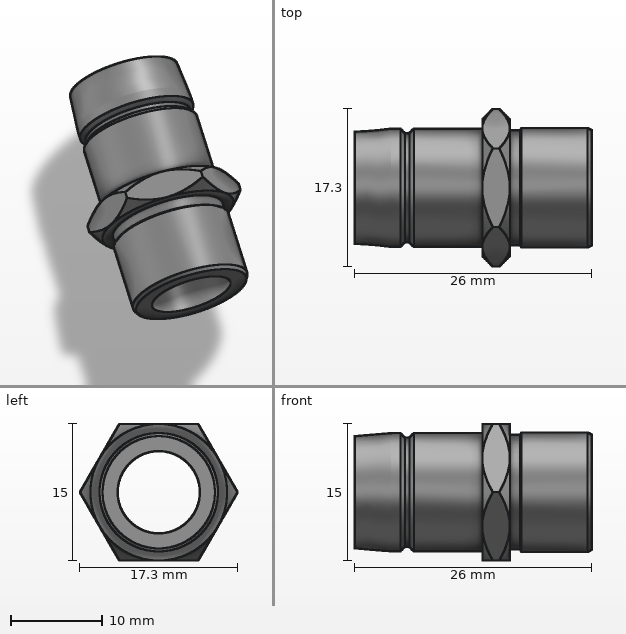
import cadquery as cq
import math

length = 26.0
bore_diameter = 9.0

barrel_radius = 6.5
taper_length = 4.0
taper_tip_radius = 6.15
groove_start = 5.0
groove_depth = 0.5
groove_floor_width = 0.5

hex_start = 14.0
hex_width = 3.02
hex_across_flats = 15.0

head_radius = 6.58
neck_radius = 6.32
neck_width = 1.15
head_back_chamfer = 0.15
head_end_chamfer = 0.45

hex_end = hex_start + hex_width
neck_end = hex_end + neck_width
hex_corner_radius = hex_across_flats / 2 / math.cos(math.radians(30))


def turned_body():
    """Solid of revolution about X for everything except the collar and the bore."""
    groove_radius = barrel_radius - groove_depth
    groove_floor_start = groove_start + groove_depth
    groove_floor_end = groove_floor_start + groove_floor_width
    groove_end = groove_floor_end + groove_depth
    profile = [
        (0, 0),
        (0, taper_tip_radius),
        (taper_length, barrel_radius),
        (groove_start, barrel_radius),
        (groove_floor_start, groove_radius),
        (groove_floor_end, groove_radius),
        (groove_end, barrel_radius),
        (hex_end, barrel_radius),
        (hex_end, neck_radius),
        (neck_end, neck_radius),
        (neck_end + head_back_chamfer, head_radius),
        (length - head_end_chamfer, head_radius),
        (length, neck_radius),
        (length, 0),
    ]
    return cq.Workplane("XZ").polyline(profile).close().revolve(360, (0, 0, 0), (1, 0, 0))


def hex_collar():
    """Hexagon with flats facing +Z and -Z, its corners turned off at 45 degrees on both faces."""
    prism = (
        cq.Workplane("YZ", origin=(hex_start, 0, 0))
        .polygon(6, 2 * hex_corner_radius)
        .extrude(hex_width)
    )
    face_radius = hex_across_flats / 2
    crest_radius = face_radius + hex_width / 2
    envelope = (
        cq.Workplane("XZ")
        .polyline([
            (hex_start, 0),
            (hex_start, face_radius),
            (hex_start + hex_width / 2, crest_radius),
            (hex_end, face_radius),
            (hex_end, 0),
        ])
        .close()
        .revolve(360, (0, 0, 0), (1, 0, 0))
    )
    return prism.intersect(envelope)


bore = cq.Workplane("YZ").circle(bore_diameter / 2).extrude(length)

result = turned_body().union(hex_collar()).cut(bore)